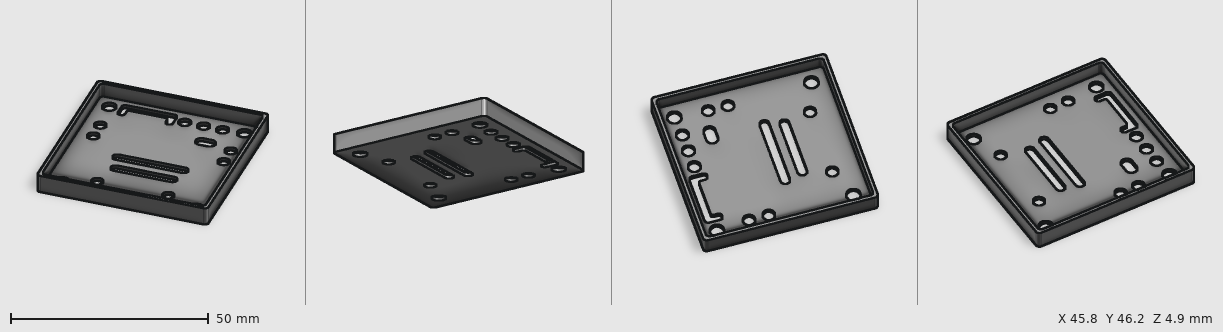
import cadquery as cq

LENGTH_X = 45.8
WIDTH_Y = 46.2
HEIGHT = 4.9
WALL = 1.0
FLOOR = 1.0
CORNER_RADIUS = 1.0

MOUNTING_DIAMETER = 3.7
MOUNTING_CENTRES = [(-18.2, 18.25), (18.0, 18.35), (-17.95, -17.92), (18.05, -17.92)]

ROW_DIAMETER = 3.3
ROW_START_X = 2.16
ROW_PITCH = 5.08
ROW_COUNT = 3
ROW_Y = 17.95

SIDE_DIAMETER = 3.2
SIDE_X = 17.5
SIDE_ROWS_Y = [9.55, 4.33]

LOWER_DIAMETER = 3.11
LOWER_X = 9.53
LOWER_Y = -14.93

OVAL_LENGTH = 5.35
OVAL_WIDTH = 3.11
OVAL_CENTRE = (10.2, 11.1)

LONG_SLOT_LENGTH = 20.3
SHORT_SLOT_LENGTH = 17.8
SLOT_WIDTH = 2.5
SLOT_CENTRE_X = 0.4
LONG_SLOT_Y = -2.8
SHORT_SLOT_Y = -7.7

BRACKET_CENTRE_X = -7.9
BRACKET_TOP_Y = 20.35
BRACKET_LENGTH = 14.8
BRACKET_DROP = 4.7
BRACKET_BAR_WIDTH = 2.1
BRACKET_LEG_WIDTH = 1.95
BRACKET_OUTER_RADIUS = 1.0
BRACKET_LEG_END_RADIUS = 0.85
BRACKET_INNER_RADIUS = 0.6


def rounded_block(length, width, height, radius):
    """Block standing on Z = 0, centred in X and Y, with rounded vertical edges."""
    block = cq.Workplane("XY").box(length, width, height, centered=(True, True, False))
    return block.edges("|Z").fillet(radius)


def tray():
    """Open-topped tray with a flat floor."""
    body = rounded_block(LENGTH_X, WIDTH_Y, HEIGHT, CORNER_RADIUS)
    cavity = rounded_block(LENGTH_X - 2 * WALL, WIDTH_Y - 2 * WALL, HEIGHT, CORNER_RADIUS)
    return body.cut(cavity.translate((0, 0, FLOOR)))


def round_holes(diameter, centres):
    """Cutters for equal round holes through the floor."""
    return cq.Workplane("XY").pushPoints(centres).circle(diameter / 2).extrude(FLOOR)


def slot(length, width, centre):
    """Cutter for a slot along X with full-round ends."""
    return cq.Workplane("XY").center(*centre).slot2D(length, width).extrude(FLOOR)


def bracket_opening():
    """Cutter for the bracket: a bar with two legs and every corner rounded."""
    half_length = BRACKET_LENGTH / 2
    inner_x = half_length - BRACKET_LEG_WIDTH
    opening = (
        cq.Workplane("XY")
        .moveTo(-half_length, 0)
        .lineTo(half_length, 0)
        .lineTo(half_length, -BRACKET_DROP)
        .lineTo(inner_x, -BRACKET_DROP)
        .lineTo(inner_x, -BRACKET_BAR_WIDTH)
        .lineTo(-inner_x, -BRACKET_BAR_WIDTH)
        .lineTo(-inner_x, -BRACKET_DROP)
        .lineTo(-half_length, -BRACKET_DROP)
        .close()
        .extrude(FLOOR)
    )
    opening = opening.edges("|Z and >Y").fillet(BRACKET_OUTER_RADIUS)
    opening = opening.edges("|Z and <Y").fillet(BRACKET_LEG_END_RADIUS)
    for side in (-1, 1):
        inner_corner = cq.selectors.NearestToPointSelector((side * inner_x, -BRACKET_BAR_WIDTH, FLOOR / 2))
        opening = opening.edges(inner_corner).fillet(BRACKET_INNER_RADIUS)
    return opening.translate((BRACKET_CENTRE_X, BRACKET_TOP_Y, 0))


row_centres = [(ROW_START_X + i * ROW_PITCH, ROW_Y) for i in range(ROW_COUNT)]
side_centres = [(side * SIDE_X, y) for side in (-1, 1) for y in SIDE_ROWS_Y]
lower_centres = [(side * LOWER_X, LOWER_Y) for side in (-1, 1)]

result = (
    tray()
    .cut(round_holes(MOUNTING_DIAMETER, MOUNTING_CENTRES))
    .cut(round_holes(ROW_DIAMETER, row_centres))
    .cut(round_holes(SIDE_DIAMETER, side_centres))
    .cut(round_holes(LOWER_DIAMETER, lower_centres))
    .cut(slot(OVAL_LENGTH, OVAL_WIDTH, OVAL_CENTRE))
    .cut(slot(LONG_SLOT_LENGTH, SLOT_WIDTH, (SLOT_CENTRE_X, LONG_SLOT_Y)))
    .cut(slot(SHORT_SLOT_LENGTH, SLOT_WIDTH, (SLOT_CENTRE_X, SHORT_SLOT_Y)))
    .cut(bracket_opening())
)